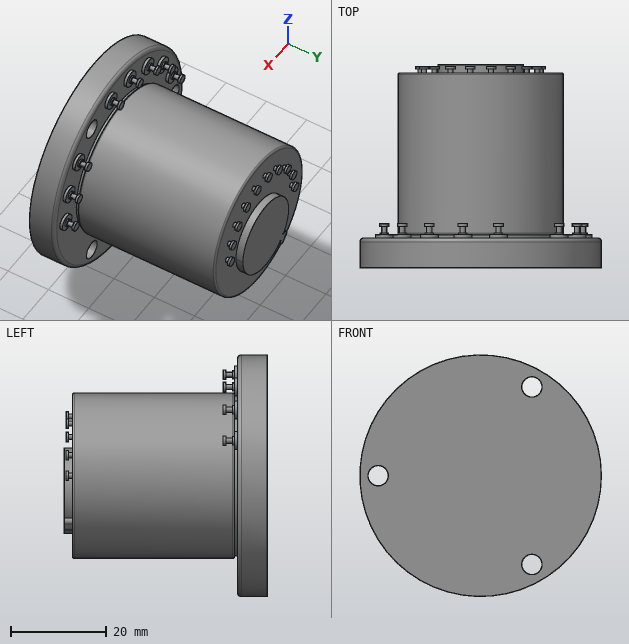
import cadquery as cq
import math

FLANGE_DIAMETER = 50.75
FLANGE_THICKNESS = 6.3
FLANGE_FILLET = 0.8

NECK_DIAMETER = 33.8
NECK_HEIGHT = 0.6
CAN_DIAMETER = 34.8
CAN_END = 40.95
CAN_FILLET = 0.4

OVERALL_LENGTH = 42.7
BOSS_DIAMETER = 18.0
BOSS_CENTRE_Z = -3.15
TAB_REACH = 10.65
TAB_END_RADIUS = 0.75
TAB_FLAT_LENGTH = 1.5
TAB_ANGLE = 225.0

PIN_DIAMETER = 1.1
PIN_HEAD_DIAMETER = 2.05
PIN_HEAD_THICKNESS = 0.55
ANGLE_STEP = 20.0

CAN_PIN_RING_RADIUS = 12.65
CAN_PIN_HEIGHT = 1.3
CAN_PIN_COUNT = 10
CAN_PIN_START_ANGLE = -90.0

FLANGE_RING_RADIUS = 21.55
FLANGE_PIN_HEIGHT = 3.0
FLANGE_PIN_START_ANGLE = -70.0
FLANGE_RING_PLACES = 9

PAD_DIAMETER = 3.75
PAD_HEIGHT = 0.65
COLLAR_DIAMETER = 1.8
COLLAR_HEIGHT = 1.0

HOLE_DIAMETER = 4.2
HOLE_ANGLES = (-90.0, 30.0, 150.0)


def disc(diameter, start, end, centre=(0.0, 0.0)):
    """Cylinder along +Y from Y = start to Y = end, centred at (x, z)."""
    x, z = centre
    return (
        cq.Workplane("XZ", origin=(x, start, z))
        .circle(diameter / 2)
        .extrude(start - end)
    )


def ring_point(radius, angle):
    """Point (x, z) on a ring around the main axis."""
    turn = math.radians(angle)
    return radius * math.sin(turn), radius * math.cos(turn)


def headed_pin(base, height, centre):
    """Pin with a flat head, standing on the plane Y = base."""
    tip = base + height
    shank = disc(PIN_DIAMETER, base, tip, centre)
    head = disc(PIN_HEAD_DIAMETER, tip - PIN_HEAD_THICKNESS, tip, centre)
    return shank.union(head)


def flange():
    body = disc(FLANGE_DIAMETER, 0, FLANGE_THICKNESS).faces(">Y").edges().fillet(FLANGE_FILLET)
    for angle in HOLE_ANGLES:
        centre = ring_point(FLANGE_RING_RADIUS, angle)
        body = body.cut(disc(HOLE_DIAMETER, 0, FLANGE_THICKNESS, centre))
    return body


def can():
    can_start = FLANGE_THICKNESS + NECK_HEIGHT
    neck = disc(NECK_DIAMETER, FLANGE_THICKNESS, can_start)
    shell = disc(CAN_DIAMETER, can_start, CAN_END).faces("<Y or >Y").edges().fillet(CAN_FILLET)
    return neck.union(shell)


def tabbed_boss():
    """Round boss with a tab whose round-ended crossbar is joined to the boss by a straight neck."""
    height = OVERALL_LENGTH - CAN_END
    crossbar_centre = TAB_REACH - TAB_END_RADIUS
    base = cq.Workplane("XZ", origin=(0, CAN_END, BOSS_CENTRE_Z))
    tab_base = base.transformed(rotate=(0, 0, TAB_ANGLE))
    boss = base.circle(BOSS_DIAMETER / 2).extrude(-height)
    neck = (
        tab_base.center(crossbar_centre / 2, 0)
        .rect(crossbar_centre, TAB_FLAT_LENGTH)
        .extrude(-height)
    )
    crossbar = (
        tab_base.center(crossbar_centre, 0)
        .slot2D(TAB_FLAT_LENGTH + 2 * TAB_END_RADIUS, 2 * TAB_END_RADIUS, 90)
        .extrude(-height)
    )
    return boss.union(neck).union(crossbar)


result = flange().union(can()).union(tabbed_boss())

for index in range(CAN_PIN_COUNT):
    position = ring_point(CAN_PIN_RING_RADIUS, CAN_PIN_START_ANGLE + index * ANGLE_STEP)
    result = result.union(headed_pin(CAN_END, CAN_PIN_HEIGHT, position))

for index in range(FLANGE_RING_PLACES):
    pin_angle = FLANGE_PIN_START_ANGLE + index * ANGLE_STEP
    if pin_angle in HOLE_ANGLES:
        continue
    position = ring_point(FLANGE_RING_RADIUS, pin_angle)
    pad = disc(PAD_DIAMETER, FLANGE_THICKNESS, FLANGE_THICKNESS + PAD_HEIGHT, position)
    collar = disc(COLLAR_DIAMETER, FLANGE_THICKNESS, FLANGE_THICKNESS + COLLAR_HEIGHT, position)
    pin = headed_pin(FLANGE_THICKNESS, FLANGE_PIN_HEIGHT, position)
    result = result.union(pad).union(collar).union(pin)